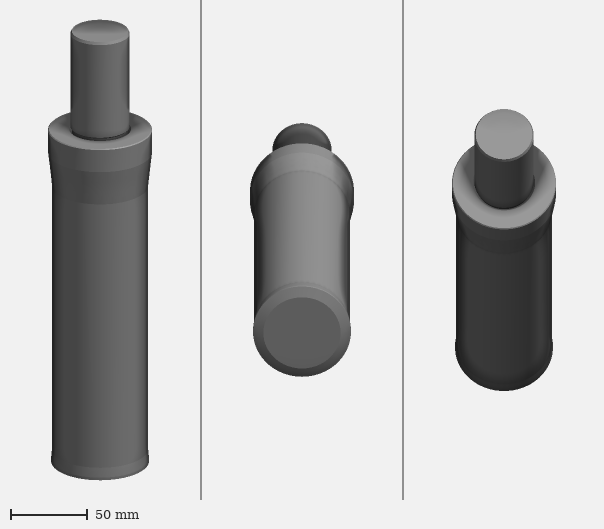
import cadquery as cq

TOTAL_HEIGHT = 307.3
COLLAR_TOP = 238.0
COLLAR_HEIGHT = 16.3
TAPER_HEIGHT = 24.0
FLARE_TOP = 10.8

FOOT_RADIUS = 32.0
FOOT_RIM_TOP = 4.0
FOOT_RIM_BOTTOM = 2.0
FOOT_FACE_RADIUS = 25.2
BARREL_RADIUS = 31.5
COLLAR_DIAMETER = 68.0
COLLAR_RADIUS = COLLAR_DIAMETER / 2
COLLAR_CHAMFER = 0.5

ROD_RADIUS = 19.5
ROD_CHAMFER_WIDTH = 1.0
ROD_TOP_CHAMFER_HEIGHT = 1.8
NECK_RADIUS = ROD_RADIUS - ROD_CHAMFER_WIDTH
NECK_EXPOSED_HEIGHT = 1.0
MOUTH_RADIUS = 20.3
BORE_DEPTH = 15.5
BORE_BOTTOM = COLLAR_TOP - BORE_DEPTH


def revolve_profile(profile):
    """Close a half profile of radius and height and turn it about the Z axis."""
    return profile.close().revolve(360, (0, 0, 0), (0, 1, 0))


def make_housing():
    """Barrel with a flared foot, a tapered collar and a bore with a 45 degree mouth."""
    collar_bottom = COLLAR_TOP - COLLAR_HEIGHT
    barrel_top = collar_bottom - TAPER_HEIGHT
    mouth_depth = MOUTH_RADIUS - NECK_RADIUS
    profile = (
        cq.Workplane("XZ")
        .lineTo(FOOT_FACE_RADIUS, 0)
        .lineTo(FOOT_RADIUS, FOOT_RIM_BOTTOM)
        .lineTo(FOOT_RADIUS, FOOT_RIM_TOP)
        .lineTo(BARREL_RADIUS, FLARE_TOP)
        .lineTo(BARREL_RADIUS, barrel_top)
        .lineTo(COLLAR_RADIUS, collar_bottom)
        .lineTo(COLLAR_RADIUS, COLLAR_TOP - COLLAR_CHAMFER)
        .lineTo(COLLAR_RADIUS - COLLAR_CHAMFER, COLLAR_TOP)
        .lineTo(MOUTH_RADIUS, COLLAR_TOP)
        .lineTo(NECK_RADIUS, COLLAR_TOP - mouth_depth)
        .lineTo(NECK_RADIUS, BORE_BOTTOM)
        .lineTo(0, BORE_BOTTOM)
    )
    return revolve_profile(profile)


def make_rod():
    """Rod chamfered at both ends, standing on a narrower neck in the bore."""
    neck_top = COLLAR_TOP + NECK_EXPOSED_HEIGHT
    profile = (
        cq.Workplane("XZ")
        .moveTo(0, BORE_BOTTOM)
        .lineTo(NECK_RADIUS, BORE_BOTTOM)
        .lineTo(NECK_RADIUS, neck_top)
        .lineTo(ROD_RADIUS, neck_top + ROD_CHAMFER_WIDTH)
        .lineTo(ROD_RADIUS, TOTAL_HEIGHT - ROD_TOP_CHAMFER_HEIGHT)
        .lineTo(ROD_RADIUS - ROD_CHAMFER_WIDTH, TOTAL_HEIGHT)
        .lineTo(0, TOTAL_HEIGHT)
    )
    return revolve_profile(profile)


housing = make_housing()
rod = make_rod()
result = cq.Compound.makeCompound([housing.val(), rod.val()])